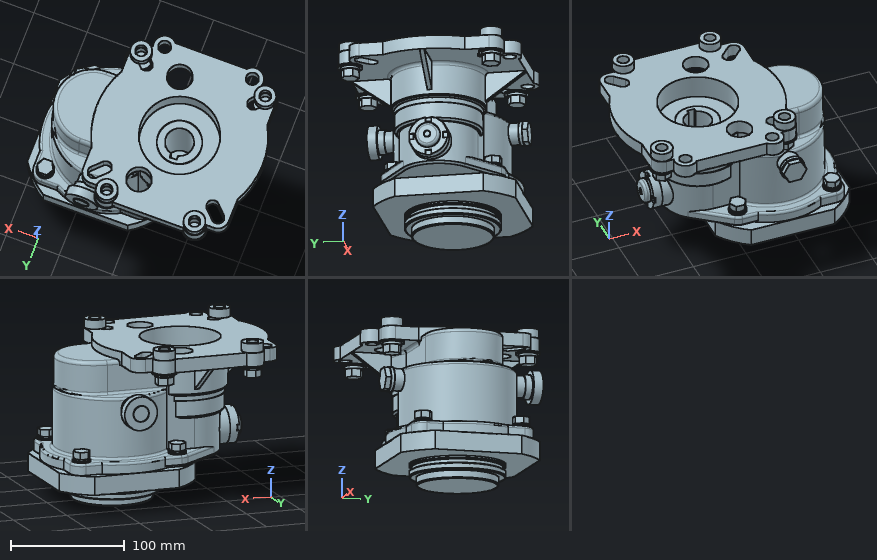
import cadquery as cq
import math


PLATE_BOTTOM = 91.5
PLATE_TOP = 103.9
PLATE_RADIUS = 77.8
PLATE_HALF_SIDE = 68.5
PLATE_HALF_LENGTH = 78.2
BOLT_CIRCLE_RADIUS = 82.5
EAR_ANGLE = 60
EAR_RADIUS = 10.3
EAR_HOLE_RADIUS = 5.65
SLOT_INNER_RADIUS = 71.2
SLOT_WIDTH = 11.1
WINDOW_X = 19.0
WINDOW_Y = 50.4
WINDOW_RADIUS = 11.3
EAR_X = BOLT_CIRCLE_RADIUS * math.cos(math.radians(EAR_ANGLE))
EAR_Y = BOLT_CIRCLE_RADIUS * math.sin(math.radians(EAR_ANGLE))
CORNER_OFFSET = BOLT_CIRCLE_RADIUS * math.cos(math.radians(45))
CORNER_RADIUS = PLATE_HALF_SIDE - CORNER_OFFSET

SLEEVE_RADIUS = 9.7
SLEEVE_HEIGHT = 8.2
SLEEVE_BORE_RADIUS = 5.1
SCREW_FLARE_RADIUS = 11.0
SCREW_FLARE_HEIGHT = 1.2
SCREW_WASHER_RADIUS = 8.5
SCREW_WASHER_HEIGHT = 2.5
SCREW_HEAD_FLATS = 14.2
SCREW_HEAD_HEIGHT = 7.2

NECK_RADIUS = 42.2
NECK_BOTTOM = 60.5
NECK_CHAMFER = 1.0
NECK_FILLET = 3.0
COLLAR_TOP = 59.2
COLLAR_STEP_Z = 54.7
COLLAR_BOTTOM = 38.5
COLLAR_TOP_RADIUS = 39.5
COLLAR_RADIUS = 38.9
COLLAR_CHAMFER = 2.0
GUSSET_THICKNESS = 4.1
GUSSET_DROP = 26.0

BODY_RADIUS = 35.0
BODY_CHAMFER = 2.0
GEAR_X = 64.2
GEAR_CASE_RADIUS = 52.2
GEAR_CASE_TOP = 66.2
GEAR_CASE_FILLET = 2.5
DOME_X = GEAR_X + GEAR_CASE_RADIUS - BODY_RADIUS
DOME_TOP = 96.5
DOME_FILLET = 3.7
DOME_FOOT_FILLET = 2.5

RIM_RADIUS = 63.1
RIM_HEIGHT = 10.5
RIM_FILLET = 2.3
PAD_RADIUS = 11.0
RIM_BOLT_OFFSET = 44.8
RIM_BOLT_FLARE_RADIUS = 8.0
RIM_BOLT_FLARE_HEIGHT = 1.2
RIM_BOLT_WASHER_RADIUS = 6.8
RIM_BOLT_WASHER_HEIGHT = 1.6
RIM_BOLT_FLATS = 13.4
RIM_BOLT_HEAD_HEIGHT = 6.4

PLUG_Z = 56.2
PLUG_BOSS_RADIUS = 9.9
PLUG_COLLAR_RADIUS = 11.0
LEVEL_BOSS_END = 60.5
LEVEL_COLLAR_END = 63.8
LEVEL_HEAD_END = 68.7
LEVEL_HEAD_FLATS = 19.3
BREATHER_BOSS_END = 59.5
BREATHER_COLLAR_END = 65.6
BREATHER_HEAD_END = 74.3
BREATHER_HEAD_RADIUS = 15.2
BREATHER_CROWN_RADIUS = 7.2
BREATHER_CROWN_HEIGHT = 0.8

CAP_Z = 20.8
CAP_RADIUS = 17.3
CAP_SEAT_X = -40.5
CAP_FACE_X = -49.0
CAP_BUTTON_X = -54.3
CAP_BUTTON_RADIUS = 11.0
CAP_BUTTON_FILLET = 2.5
CAP_DIMPLE_RADIUS = 2.9
CAP_DIMPLE_DEPTH = 1.0
CAP_NOTCH_WIDTH = 5.3
CAP_NOTCH_LENGTH = 4.1
CAP_NOTCH_DEPTH = 2.0

BORE_RADIUS = 35.8
BORE_FLOOR = 82.3
SHAFT_TOP = 83.7
SHAFT_RADIUS = 20.0
SHAFT_BORE_RADIUS = 12.8
SHAFT_BOTTOM = 16.5
KEYWAY_WIDTH = 6.5
KEYWAY_REACH = 16.0

FLANGE_HALF_SIDE = 63.8
FLANGE_RADIUS = 75.0
FLANGE_THICKNESS = 16.7
SPIGOT_RING_RADIUS = 42.5
SPIGOT_GROOVE_RADIUS = 40.3
SPIGOT_RADIUS = 36.5
SPIGOT_COLLAR_Z = -19.3
SPIGOT_GROOVE_Z = -23.5
SPIGOT_RING_Z = -28.5
SPIGOT_END_Z = -35.8
SPIGOT_CHAMFER = 1.0

SIDES = (-1, 1)


def disc(radius, bottom, top, x=0.0, y=0.0):
    """Upright cylinder between two heights."""
    return cq.Workplane("XY").workplane(offset=bottom).center(x, y).circle(radius).extrude(top - bottom)


def block(x_min, x_max, half_width, bottom, top):
    """Upright box that is symmetric about Y = 0."""
    size = (x_max - x_min, 2 * half_width, top - bottom)
    return cq.Workplane("XY").box(*size, centered=False).translate((x_min, -half_width, bottom))


def hexagon(flats, bottom, top, x, y, turn):
    """Upright hexagonal prism; turn = 0 puts corners along X."""
    corner_diameter = flats / math.cos(math.radians(30))
    prism = cq.Workplane("XY").polygon(6, corner_diameter).extrude(top - bottom)
    return prism.rotate((0, 0, 0), (0, 0, 1), turn).translate((x, y, bottom))


def dome_outline(bottom, top):
    """Slab with round ends about the input axis and about the axis of the dome."""
    plane = cq.Workplane("XY").workplane(offset=bottom).center(DOME_X / 2, 0)
    return plane.slot2D(DOME_X + 2 * BODY_RADIUS, 2 * BODY_RADIUS).extrude(top - bottom)



def plate_blank():
    thickness = PLATE_TOP - PLATE_BOTTOM
    square = block(-PLATE_HALF_SIDE, PLATE_HALF_SIDE, PLATE_HALF_SIDE, PLATE_BOTTOM, PLATE_TOP)
    plate = square.edges("|Z").fillet(CORNER_RADIUS)
    plate = plate.union(disc(PLATE_RADIUS, PLATE_BOTTOM, PLATE_TOP))
    plate = plate.union(block(-EAR_X, EAR_X, PLATE_HALF_LENGTH, PLATE_BOTTOM, PLATE_TOP))
    ears = (
        cq.Workplane("XY").workplane(offset=PLATE_BOTTOM)
        .rect(2 * EAR_X, 2 * EAR_Y, forConstruction=True).vertices()
        .circle(EAR_RADIUS).extrude(thickness)
    )
    return plate.union(ears)


def neck_and_web():
    """Neck under the plate and the web that joins it to the dome."""
    neck = disc(NECK_RADIUS, NECK_BOTTOM, PLATE_BOTTOM).faces("<Z").chamfer(NECK_CHAMFER)
    return neck.union(block(0, GEAR_X, BODY_RADIUS, NECK_BOTTOM, PLATE_BOTTOM))


def collar():
    band = disc(COLLAR_TOP_RADIUS, COLLAR_STEP_Z, COLLAR_TOP)
    ring = disc(COLLAR_RADIUS, COLLAR_BOTTOM, COLLAR_STEP_Z)
    return band.union(ring.faces("<Z").chamfer(COLLAR_CHAMFER))


def gusset(turn, reach):
    """Triangular rib between the plate and the neck, first built towards +X."""
    root = NECK_RADIUS - 2.0
    rib = (
        cq.Workplane("XZ").workplane(offset=-GUSSET_THICKNESS / 2)
        .polyline([
            (root, PLATE_BOTTOM),
            (reach, PLATE_BOTTOM),
            (NECK_RADIUS, PLATE_BOTTOM - GUSSET_DROP),
            (root, PLATE_BOTTOM - GUSSET_DROP),
        ])
        .close().extrude(GUSSET_THICKNESS)
    )
    return rib.rotate((0, 0, 0), (0, 0, 1), turn)


def input_end():
    shape = plate_blank().union(neck_and_web())
    reach = GEAR_X + 0.2
    junction = cq.selectors.BoxSelector(
        (-NECK_RADIUS - 2, -NECK_RADIUS - 2, PLATE_BOTTOM - 0.2),
        (reach, NECK_RADIUS + 2, PLATE_BOTTOM + 0.2),
    )
    shape = shape.edges(junction).fillet(NECK_FILLET)
    for turn, gusset_reach in ((90, PLATE_HALF_LENGTH), (180, PLATE_RADIUS), (270, PLATE_HALF_LENGTH)):
        shape = shape.union(gusset(turn, gusset_reach))
    return shape.union(collar())


def cut_plate_openings(shape):
    thickness = PLATE_TOP - PLATE_BOTTOM
    plane = cq.Workplane("XY").workplane(offset=PLATE_BOTTOM)
    ear_holes = (
        plane.rect(2 * EAR_X, 2 * EAR_Y, forConstruction=True).vertices()
        .circle(EAR_HOLE_RADIUS).extrude(thickness)
    )
    shape = shape.cut(ear_holes)
    slot_middle = (BOLT_CIRCLE_RADIUS + SLOT_INNER_RADIUS) / 2
    slot_length = BOLT_CIRCLE_RADIUS - SLOT_INNER_RADIUS + SLOT_WIDTH
    slot = plane.center(slot_middle, 0).slot2D(slot_length, SLOT_WIDTH).extrude(thickness)
    for turn in (45, 135, 225, 315):
        shape = shape.cut(slot.rotate((0, 0, 0), (0, 0, 1), turn))
    for side in SIDES:
        window = disc(WINDOW_RADIUS, PLATE_BOTTOM - NECK_FILLET, PLATE_TOP, WINDOW_X, side * WINDOW_Y)
        shape = shape.cut(window)
    return shape


def sleeve_and_screw(x, y):
    """Sleeve on top of the plate and the screw head that closes its hole from below."""
    sleeve = disc(SLEEVE_RADIUS, PLATE_TOP, PLATE_TOP + SLEEVE_HEIGHT, x, y)
    sleeve = sleeve.cut(disc(SLEEVE_BORE_RADIUS, PLATE_TOP, PLATE_TOP + SLEEVE_HEIGHT, x, y))
    flare_bottom = PLATE_BOTTOM - SCREW_FLARE_HEIGHT
    washer_bottom = flare_bottom - SCREW_WASHER_HEIGHT
    screw = disc(SCREW_FLARE_RADIUS, flare_bottom, PLATE_BOTTOM, x, y)
    screw = screw.union(disc(SCREW_WASHER_RADIUS, washer_bottom, flare_bottom, x, y))
    head = hexagon(SCREW_HEAD_FLATS, washer_bottom - SCREW_HEAD_HEIGHT, washer_bottom, x, y, 90)
    return sleeve, screw.union(head)



def gear_case():
    case = disc(GEAR_CASE_RADIUS, 0, GEAR_CASE_TOP, GEAR_X)
    return case.faces(">Z").edges().fillet(GEAR_CASE_FILLET)


def dome():
    """Dome above the gear case, with a rounded foot trimmed to the case."""
    floor_z = GEAR_CASE_TOP - GEAR_CASE_FILLET
    floor = block(-GEAR_CASE_RADIUS, 3 * GEAR_CASE_RADIUS, GEAR_CASE_RADIUS, floor_z, GEAR_CASE_TOP)
    cap = dome_outline(GEAR_CASE_TOP, DOME_TOP).faces(">Z").edges().fillet(DOME_FILLET)
    footed = floor.union(cap)
    foot = cq.selectors.BoxSelector(
        (-BODY_RADIUS - 2, -BODY_RADIUS - 2, GEAR_CASE_TOP - 0.2),
        (DOME_X + BODY_RADIUS + 2, BODY_RADIUS + 2, GEAR_CASE_TOP + 0.2),
    )
    footed = footed.edges(foot).fillet(DOME_FOOT_FILLET)
    top_case = disc(GEAR_CASE_RADIUS, GEAR_CASE_TOP, DOME_TOP, GEAR_X)
    footed = footed.intersect(top_case)
    return footed


def rim():
    """Bolted rim: a ring with four pads, led into the round body by two tangent flanks."""
    half_side = RIM_BOLT_OFFSET + PAD_RADIUS
    square = block(GEAR_X - half_side, GEAR_X + half_side, half_side, 0, RIM_HEIGHT)
    shape = square.edges("|Z").fillet(PAD_RADIUS)
    shape = shape.union(disc(RIM_RADIUS, 0, RIM_HEIGHT, GEAR_X)).union(disc(BODY_RADIUS, 0, RIM_HEIGHT))
    pad_x = GEAR_X - RIM_BOLT_OFFSET
    distance = math.hypot(pad_x, RIM_BOLT_OFFSET)
    tangent_angle = math.atan2(RIM_BOLT_OFFSET, pad_x) + math.acos((BODY_RADIUS - PAD_RADIUS) / distance)
    nx = math.cos(tangent_angle)
    ny = math.sin(tangent_angle)
    body_touch = (BODY_RADIUS * nx, BODY_RADIUS * ny)
    pad_touch = (pad_x + PAD_RADIUS * nx, RIM_BOLT_OFFSET + PAD_RADIUS * ny)
    upper = [body_touch, pad_touch, (pad_x, RIM_BOLT_OFFSET)]
    lower = [(x, -y) for x, y in reversed(upper)]
    shape = shape.union(cq.Workplane("XY").polyline(upper + lower).close().extrude(RIM_HEIGHT))
    shape = shape.clean()
    shape = shape.faces(">Z").edges().fillet(RIM_FILLET)
    body_side = cq.selectors.BoxSelector(
        (-BODY_RADIUS - 2, -half_side - 2, -0.2),
        (GEAR_X - RIM_BOLT_OFFSET / 2, half_side + 2, 0.2),
    )
    return shape.edges(body_side).chamfer(BODY_CHAMFER)


def rim_bolt(quarter):
    """Bolt on one pad; each is the previous one turned by 90 degrees about the gear axis."""
    spot = (RIM_BOLT_OFFSET, RIM_BOLT_OFFSET)
    flare_top = RIM_HEIGHT + RIM_BOLT_FLARE_HEIGHT
    washer_top = flare_top + RIM_BOLT_WASHER_HEIGHT
    bolt = disc(RIM_BOLT_FLARE_RADIUS, RIM_HEIGHT, flare_top, *spot)
    bolt = bolt.union(disc(RIM_BOLT_WASHER_RADIUS, flare_top, washer_top, *spot))
    head = hexagon(RIM_BOLT_FLATS, washer_top, washer_top + RIM_BOLT_HEAD_HEIGHT, *spot, 0)
    return bolt.union(head).rotate((0, 0, 0), (0, 0, 1), 90 * quarter).translate((GEAR_X, 0, 0))


def flank_disc(radius, start, end, side):
    """Cylinder along Y on one flank of the gear case, between two distances from the middle."""
    start_plane = cq.Plane(origin=(GEAR_X, side * start, PLUG_Z), xDir=(1, 0, 0), normal=(0, side, 0))
    return cq.Workplane(start_plane).circle(radius).extrude(end - start)


def level_plug():
    plug = flank_disc(PLUG_BOSS_RADIUS, BODY_RADIUS, LEVEL_BOSS_END, -1)
    plug = plug.union(flank_disc(PLUG_COLLAR_RADIUS, LEVEL_BOSS_END, LEVEL_COLLAR_END, -1))
    head_plane = cq.Plane(origin=(GEAR_X, -LEVEL_COLLAR_END, PLUG_Z), xDir=(1, 0, 0), normal=(0, -1, 0))
    corner_diameter = LEVEL_HEAD_FLATS / math.cos(math.radians(30))
    head = cq.Workplane(head_plane).polygon(6, corner_diameter).extrude(LEVEL_HEAD_END - LEVEL_COLLAR_END)
    return plug.union(head)


def breather_plug():
    crown_end = BREATHER_HEAD_END + BREATHER_CROWN_HEIGHT
    plug = flank_disc(PLUG_BOSS_RADIUS, BODY_RADIUS, BREATHER_BOSS_END, 1)
    plug = plug.union(flank_disc(PLUG_COLLAR_RADIUS, BREATHER_BOSS_END, BREATHER_COLLAR_END, 1))
    plug = plug.union(flank_disc(BREATHER_HEAD_RADIUS, BREATHER_COLLAR_END, BREATHER_HEAD_END, 1))
    return plug.union(flank_disc(BREATHER_CROWN_RADIUS, BREATHER_HEAD_END, crown_end, 1))


def axial_disc(radius, x_start, x_end):
    """Cylinder along X on the axis of the end cap."""
    start_plane = cq.Plane(origin=(x_start, 0, CAP_Z), xDir=(0, 1, 0), normal=(1, 0, 0))
    return cq.Workplane(start_plane).circle(radius).extrude(x_end - x_start)


def make_housing():
    shape = input_end()
    shape = shape.union(disc(BODY_RADIUS, 0, PLATE_BOTTOM).faces("<Z").chamfer(BODY_CHAMFER))
    shape = shape.union(block(0, DOME_X, BODY_RADIUS, BODY_CHAMFER, GEAR_CASE_TOP - GEAR_CASE_FILLET))
    shape = shape.union(rim_and_case())
    shape = shape.union(dome())
    shape = shape.union(axial_disc(CAP_RADIUS, CAP_SEAT_X, 0))
    shape = shape.union(level_plug()).union(breather_plug())
    for quarter in range(4):
        shape = shape.union(rim_bolt(quarter))
    shape = cut_plate_openings(shape)
    sleeve_places = [
        (-EAR_X, EAR_Y),
        (EAR_X, EAR_Y),
        (-CORNER_OFFSET, -CORNER_OFFSET),
        (CORNER_OFFSET, -CORNER_OFFSET),
    ]
    for x, y in sleeve_places:
        for piece in sleeve_and_screw(x, y):
            shape = shape.union(piece)
    shape = shape.cut(disc(BORE_RADIUS, BORE_FLOOR, PLATE_TOP))
    return shape.cut(disc(SHAFT_RADIUS, SHAFT_BOTTOM, BORE_FLOOR))


def rim_and_case():
    """Rim and gear case, rounded into each other."""
    shape = rim().union(gear_case())
    foot = cq.selectors.BoxSelector(
        (GEAR_X - GEAR_CASE_RADIUS - 2, -GEAR_CASE_RADIUS - 2, RIM_HEIGHT - 0.2),
        (GEAR_X + GEAR_CASE_RADIUS + 2, GEAR_CASE_RADIUS + 2, RIM_HEIGHT + 0.2),
    )
    circle_edges = shape.edges(foot).edges("%CIRCLE")
    case_edges = [e for e in circle_edges.vals() if abs(e.radius() - GEAR_CASE_RADIUS) < 0.02]
    return shape.newObject(case_edges).fillet(RIM_FILLET)



def make_end_cap():
    cap = axial_disc(CAP_RADIUS, CAP_FACE_X, CAP_SEAT_X)
    for quarter in range(4):
        notch = cq.Workplane("XY").box(CAP_NOTCH_DEPTH, CAP_NOTCH_WIDTH, CAP_NOTCH_LENGTH)
        notch = notch.translate((CAP_FACE_X + CAP_NOTCH_DEPTH / 2, 0, CAP_RADIUS - CAP_NOTCH_LENGTH / 2))
        cap = cap.cut(notch.rotate((0, 0, 0), (1, 0, 0), 90 * quarter).translate((0, 0, CAP_Z)))
    button = axial_disc(CAP_BUTTON_RADIUS, CAP_BUTTON_X, CAP_FACE_X).faces("<X").edges().fillet(CAP_BUTTON_FILLET)
    button = button.cut(axial_disc(CAP_DIMPLE_RADIUS, CAP_BUTTON_X, CAP_BUTTON_X + CAP_DIMPLE_DEPTH))
    return cap.union(button)


def make_input_shaft():
    shaft = disc(SHAFT_RADIUS, SHAFT_BOTTOM, SHAFT_TOP)
    shaft = shaft.cut(disc(SHAFT_BORE_RADIUS, SHAFT_BOTTOM, SHAFT_TOP))
    keyway = cq.Workplane("XY").box(
        KEYWAY_WIDTH, KEYWAY_REACH, SHAFT_TOP - SHAFT_BOTTOM, centered=(True, False, False)
    )
    return shaft.cut(keyway.translate((0, 0, SHAFT_BOTTOM)))


def make_output_flange():
    plate = block(
        GEAR_X - FLANGE_HALF_SIDE, GEAR_X + FLANGE_HALF_SIDE, FLANGE_HALF_SIDE, -FLANGE_THICKNESS, 0
    )
    flange = plate.intersect(disc(FLANGE_RADIUS, -FLANGE_THICKNESS, 0, GEAR_X))
    steps = [
        (SPIGOT_RING_RADIUS, SPIGOT_COLLAR_Z, -FLANGE_THICKNESS),
        (SPIGOT_GROOVE_RADIUS, SPIGOT_GROOVE_Z, SPIGOT_COLLAR_Z),
        (SPIGOT_RING_RADIUS, SPIGOT_RING_Z, SPIGOT_GROOVE_Z),
        (SPIGOT_RADIUS, SPIGOT_END_Z, SPIGOT_RING_Z),
    ]
    for radius, bottom, top in steps:
        flange = flange.union(disc(radius, bottom, top, GEAR_X).faces("<Z").chamfer(SPIGOT_CHAMFER))
    return flange


housing = make_housing()
input_shaft = make_input_shaft()
end_cap = make_end_cap()
output_flange = make_output_flange()

result = cq.Compound.makeCompound([
    housing.val(),
    input_shaft.val(),
    end_cap.val(),
    output_flange.val(),
])